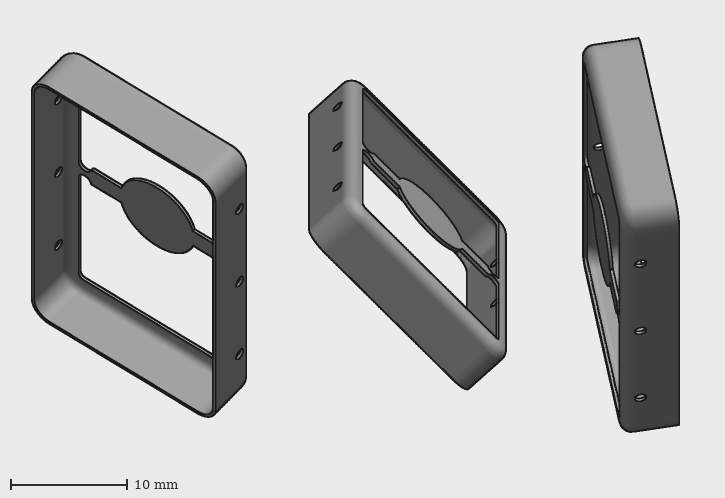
import cadquery as cq

width = 20.0
depth = 5.0
height = 32.6
wall = 0.3
corner_radius = 2.0
edge_radius = 1.0

lip = 1.5
window_radius = 0.5

disc_radius = 4.0
arm_height = 2.0
notch_radius = 0.65
arm_corner_radius = 0.2

hole_diameter = 1.0
hole_inset = 1.6
hole_pitch = 10.0

floor_start = depth - wall
window_width = width - 2 * lip


def rounded_block(block_width, block_height, radius, start, end):
    """Block between two Y positions, with its four Y-direction edges rounded."""
    return (
        cq.Workplane("XZ", origin=(0, start, 0))
        .rect(block_width, block_height)
        .extrude(start - end)
        .edges("|Y")
        .fillet(radius)
    )


def make_shell():
    """Thin-walled tray of constant thickness with a rounded floor edge."""
    outer = rounded_block(width, height, corner_radius, 0, depth)
    outer = outer.faces(">Y").edges().fillet(edge_radius)
    inner = rounded_block(
        width - 2 * wall, height - 2 * wall, corner_radius - wall, 0, floor_start
    )
    inner = inner.faces(">Y").edges().fillet(edge_radius - wall)
    return outer.cut(inner)


def make_arms():
    """Bar across the window, with round notches that leave a neck at each end."""
    notch_x = window_width / 2 - notch_radius
    notches = (
        cq.Workplane("XZ", origin=(0, floor_start, 0))
        .rect(2 * notch_x, arm_height, forConstruction=True)
        .vertices()
        .circle(notch_radius)
        .extrude(-wall)
    )
    bar = (
        cq.Workplane("XZ", origin=(0, floor_start, 0))
        .rect(window_width, arm_height)
        .extrude(-wall)
        .cut(notches)
    )
    inner_corner_x = notch_x - notch_radius
    search_box = cq.selectors.BoxSelector(
        (-inner_corner_x - notch_radius / 2, 0, -arm_height),
        (inner_corner_x + notch_radius / 2, depth, arm_height),
    )
    return bar.edges("|Y").edges(search_box).fillet(arm_corner_radius)


def make_side_holes():
    """Cylinders along X that pierce both long walls."""
    return (
        cq.Workplane("YZ", origin=(-width / 2, depth - hole_inset, 0))
        .rarray(0.33, hole_pitch, 1, 3)
        .circle(hole_diameter / 2)
        .extrude(width)
    )


window = rounded_block(window_width, height - 2 * lip, window_radius, floor_start, depth)
disc = cq.Workplane("XZ", origin=(0, floor_start, 0)).circle(disc_radius).extrude(-wall)

result = make_shell().cut(window).union(make_arms()).union(disc).cut(make_side_holes())